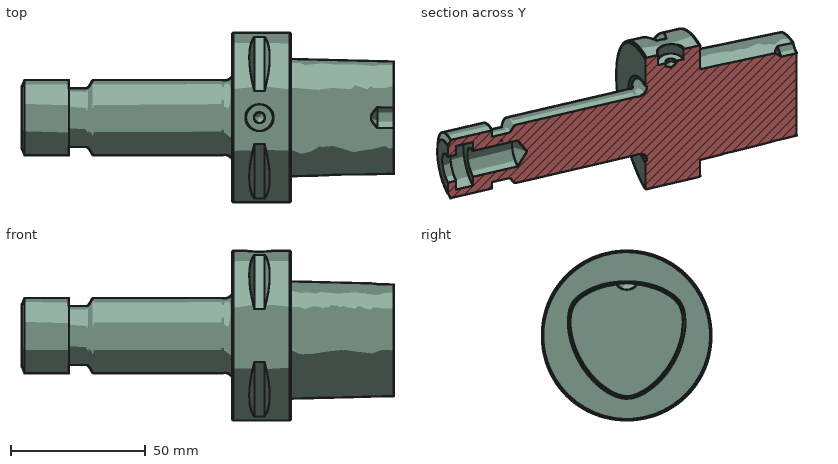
import cadquery as cq
import math

LENGTH = 138.0
NOSE_END = 17.5
NECK_END = 24.5
SHANK_START = 26.4
SHANK_END = 74.2
ROOT_START = 75.2
FLANGE_START = 78.0
FLANGE_END = 99.9
SLOT_CENTER = 88.2

BODY_RADIUS = 28.0 / 2
NECK_RADIUS = 22.0 / 2
NECK_FILLET = 1.2
SHOULDER_FILLET = 0.8
ROOT_RADIUS = 27.7 / 2
ROOT_FILLET = 3.5
RECESS_OUTER_RADIUS = 18.4
FLANGE_RADIUS = 63.0 / 2
FLANGE_CHAMFER = 0.5
NOSE_CHAMFER_LENGTH = 1.1
NOSE_FACE_RADIUS = 11.5

BORE_RADIUS = 6.1
BORE_DEPTH = 27.6
CHAMBER_RADIUS = 20.5 / 2
CHAMBER_START = 3.3
CHAMBER_END = 10.0
DRILL_HALF_ANGLE = math.radians(59)

TAPER_RADIUS = 21.8
LOBE_HEIGHT = 1.7
TAPER_RATE = 1 / 40
OUTLINE_POINTS = 36
END_RADIUS = TAPER_RADIUS - TAPER_RATE * (LENGTH - FLANGE_END)

SLOT_FLOOR_DISTANCE = 28.2
SLOT_FLOOR_WIDTH = 3.7
SLOT_WALL_ANGLE = math.radians(30)
SLOT_ANGLES = (45, 135, 225, 315)

POCKET_RADIUS = 10.0 / 2
POCKET_DEPTH = 4.8
POCKET_CHAMFER = 0.3
PIN_HOLE_RADIUS = 4.0 / 2
PIN_HOLE_DEPTH = 1.4

NOTCH_RADIUS = 4.5
NOTCH_DEPTH = 2.2
NOTCH_TIP_HALF_ANGLE = math.radians(45)
NOTCH_LENGTH = 6.1


def drill(radius, depth, start, direction, half_angle=DRILL_HALF_ANGLE):
    """Cylinder with a conical drill point beyond its depth."""
    tip = depth + radius / math.tan(half_angle)
    profile = [(0, 0), (radius, 0), (radius, depth), (0, tip)]
    tool = cq.Workplane("XZ").polyline(profile).close().revolve(360, (0, 0), (0, 1))
    plane = cq.Plane(origin=start, xDir=(0, 1, 0), normal=direction)
    return cq.Workplane(obj=tool.val().moved(cq.Location(plane)))


def front_bore():
    bore = drill(BORE_RADIUS, BORE_DEPTH, (0, 0, 0), (1, 0, 0))
    chamber = (
        cq.Workplane("YZ", origin=(CHAMBER_START, 0, 0))
        .circle(CHAMBER_RADIUS)
        .extrude(CHAMBER_END - CHAMBER_START)
    )
    return bore.union(chamber)


def turned_body():
    arc_reach = ROOT_FILLET * math.sqrt(0.5)
    recess_radius = ROOT_RADIUS + ROOT_FILLET
    body = (
        cq.Workplane("XY")
        .moveTo(0, 0)
        .lineTo(0, NOSE_FACE_RADIUS)
        .lineTo(NOSE_CHAMFER_LENGTH, BODY_RADIUS)
        .lineTo(NOSE_END, BODY_RADIUS)
        .lineTo(NOSE_END, NECK_RADIUS)
        .lineTo(NECK_END, NECK_RADIUS)
        .lineTo(SHANK_START, BODY_RADIUS)
        .lineTo(SHANK_END, BODY_RADIUS)
        .lineTo(ROOT_START, ROOT_RADIUS)
        .threePointArc(
            (ROOT_START + arc_reach, recess_radius - arc_reach),
            (ROOT_START + ROOT_FILLET, recess_radius),
        )
        .lineTo(FLANGE_START, RECESS_OUTER_RADIUS)
        .lineTo(FLANGE_START, FLANGE_RADIUS - FLANGE_CHAMFER)
        .lineTo(FLANGE_START + FLANGE_CHAMFER, FLANGE_RADIUS)
        .lineTo(FLANGE_END - FLANGE_CHAMFER, FLANGE_RADIUS)
        .lineTo(FLANGE_END, FLANGE_RADIUS - FLANGE_CHAMFER)
        .lineTo(FLANGE_END, 0)
        .close()
        .revolve(360, (0, 0, 0), (1, 0, 0))
    )
    neck_edge = cq.selectors.NearestToPointSelector((NECK_END, 0, 0))
    shoulder_edge = cq.selectors.NearestToPointSelector((SHANK_START, 0, 0))
    body = body.edges(neck_edge).fillet(NECK_FILLET)
    return body.edges(shoulder_edge).fillet(SHOULDER_FILLET)


def trilobe_point(radius, angle):
    """Point of the curve whose tangent distance is radius + lobe * sin(3 * angle)."""
    distance = radius + LOBE_HEIGHT * math.sin(3 * angle)
    slope = 3 * LOBE_HEIGHT * math.cos(3 * angle)
    y = distance * math.cos(angle) - slope * math.sin(angle)
    z = distance * math.sin(angle) + slope * math.cos(angle)
    return y, z


def trilobe_points(radius):
    step = 2 * math.pi / OUTLINE_POINTS
    return [trilobe_point(radius, step * index) for index in range(OUTLINE_POINTS)]


def trilobe_taper():
    return (
        cq.Workplane("YZ", origin=(FLANGE_END, 0, 0))
        .spline(trilobe_points(TAPER_RADIUS), periodic=True, makeWire=True)
        .workplane(offset=LENGTH - FLANGE_END)
        .spline(trilobe_points(END_RADIUS), periodic=True, makeWire=True)
        .loft(ruled=True)
    )


def gripper_slot(angle):
    """Trapezoidal groove across the flange rim, turned about X from +Z."""
    height = FLANGE_RADIUS - SLOT_FLOOR_DISTANCE
    half_floor = SLOT_FLOOR_WIDTH / 2
    half_top = half_floor + height * math.tan(SLOT_WALL_ANGLE)
    return (
        cq.Workplane("XZ", origin=(SLOT_CENTER, 0, SLOT_FLOOR_DISTANCE))
        .polyline([(-half_floor, 0), (half_floor, 0), (half_top, height), (-half_top, height)])
        .close()
        .extrude(FLANGE_RADIUS, both=True)
        .rotate((0, 0, 0), (1, 0, 0), angle)
    )


def flange_hole():
    floor = FLANGE_RADIUS - POCKET_DEPTH
    profile = [
        (0, floor),
        (POCKET_RADIUS, floor),
        (POCKET_RADIUS, FLANGE_RADIUS - POCKET_CHAMFER),
        (POCKET_RADIUS + POCKET_CHAMFER, FLANGE_RADIUS),
        (0, FLANGE_RADIUS),
    ]
    pocket = (
        cq.Workplane("XZ", origin=(SLOT_CENTER, 0, 0))
        .polyline(profile)
        .close()
        .revolve(360, (0, 0), (0, 1))
    )
    pin_hole = drill(PIN_HOLE_RADIUS, PIN_HOLE_DEPTH, (SLOT_CENTER, 0, floor), (0, 0, -1))
    return pocket.union(pin_hole)


def notched_taper():
    axis_height = END_RADIUS - LOBE_HEIGHT - NOTCH_DEPTH + NOTCH_RADIUS
    start = (LENGTH, 0, axis_height)
    notch = drill(NOTCH_RADIUS, NOTCH_LENGTH, start, (-1, 0, 0), NOTCH_TIP_HALF_ANGLE)
    return trilobe_taper().cut(notch)


result = turned_body()
result = result.cut(front_bore())
for slot_angle in SLOT_ANGLES:
    result = result.cut(gripper_slot(slot_angle))
result = result.cut(flange_hole())
result = result.union(notched_taper())